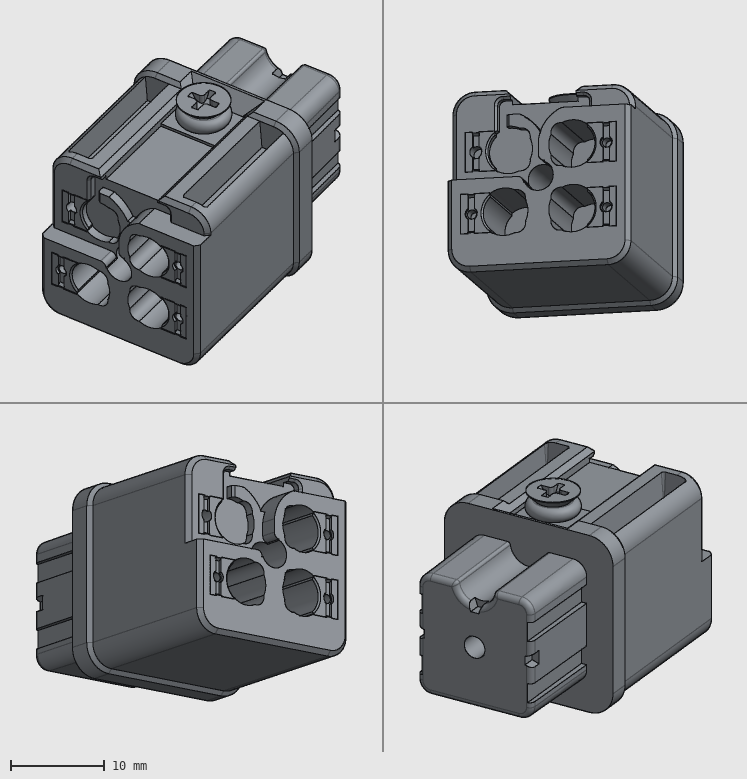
import cadquery as cq
import math

LENGTH = 32.8
EPS = 0.05

flange_size = 21.0
flange_radius = 2.95
flange_back = 21.65
flange_front = 18.7
rim_chamfer = 0.45
body_size = flange_size - 2 * rim_chamfer
body_radius = flange_radius - rim_chamfer
front_chamfer = 0.52
step_y = 2.05
recess_y = 3.08
body_half = body_size / 2

block_top = 7.28
corner_reach = 2.55
corner_mid = (1.25, 6.4)
corner_foot = 3.77
bore_corner = 0.65
bore_mouth_radius = 1.65
bore_end_radius = 1.28

arch_half = 5.05
arch_top = 9.0
arch_radius = 0.65
arch_chamfer = 0.3
hook_end = -4.0
hook_bottom = 5.97
cusp_half = 0.2
cusp_z = 5.0

contact_x = 3.75
left_top_contact_z = 3.4
right_top_contact_z = 3.28
low_contact_z = -3.77
contact_radius = 2.6
contact_seat_radius = 2.4
contact_depth = 9.85
key_radius = 1.05
key_offset = 1.85
pocket_inner = 5.35
pocket_outer = 8.55
pocket_half_height = 2.15
pocket_depth = 0.13
slot_inner = 7.05
slot_outer = 7.77
slot_half_height = 2.05
slot_depth = 0.5
slot_slope = 0.23
pin_hole_radius = 0.65
pin_tip_radius = 0.5
pin_hole_depth = 1.97

channel_half = 3.6
channel_floor = 8.55
seat_floor = 8.9
seat_front = 13.78
seat_back = 19.5
mouth_half = 4.65
mouth_back = 21.35

side_slot_inner = 5.77
side_slot_outer = 8.8
side_slot_front = 3.5
side_slot_floor = 6.55
side_slot_draft = 4.5
side_slot_radius = 0.33

plug_size = 14.43
plug_radius = 1.7
plug_draft = 0.6
plug_end_fillet = 0.65
trough_radius = 2.3
trough_depth = 2.3
trough_rim_fillet = 0.35
groove_depth = 0.52
groove_height = 2.23
upper_groove_z = 3.48
lower_groove_z = -3.8
notch_length = 1.48
notch_depth = 0.82
notch_half = 0.8
notch_floor_half = 0.5

screw_y = 16.6
screw_top = 11.85
head_radius = 2.92
head_rim = 0.1
head_neck_radius = 1.97
washer_top = 10.8
washer_bottom = 9.15
washer_radius = 3.02
shank_radius = 1.55
cross_half = 1.77
cross_foot = 1.3
cross_width = 0.8
cross_fillet = 0.4
cross_wall_depth = 0.82
cross_depth = 1.3


def at(y):
    """Sketch plane across the part; negative extrusions run toward +Y."""
    return cq.Workplane("XZ", origin=(0, y, 0))


def facing_back(y):
    """Sketch plane with its normal along +Y, for shapes symmetric in X."""
    return cq.Workplane(cq.Plane(origin=(0, y, 0), xDir=(-1, 0, 0), normal=(0, 1, 0)))


def box(x0, x1, y0, y1, z0, z1):
    corner = (min(x0, x1), min(y0, y1), min(z0, z1))
    return cq.Workplane("XY").box(abs(x1 - x0), abs(y1 - y0), abs(z1 - z0), centered=False).translate(corner)


def rounded_bar(size, radius, y0, y1):
    return at(y0).rect(size, size).extrude(y0 - y1).edges("|Y").fillet(radius)


def cone(x, z, y0, y1, radius0, radius1):
    """Round bar along Y whose radius changes from radius0 at y0 to radius1 at y1."""
    return at(y0).center(x, z).circle(radius0).workplane(offset=y0 - y1).circle(radius1).loft()


def front_block():
    """Part of the body ahead of the step: the lower half and the right top quarter."""
    b = bore_corner * math.sqrt(0.5)
    m = bore_mouth_radius
    outline = (
        at(0)
        .moveTo(-body_half, -body_half)
        .lineTo(body_half, -body_half)
        .lineTo(body_half, block_top)
        .lineTo(corner_reach, block_top)
        .threePointArc(corner_mid, (0, corner_foot))
        .lineTo(0, m + bore_corner)
        .threePointArc((bore_corner - b, m + bore_corner - b), (bore_corner, m))
        .lineTo(bore_corner, -bore_corner)
        .lineTo(-m, -bore_corner)
        .threePointArc((-m - bore_corner + b, -bore_corner + b), (-m - bore_corner, 0))
        .lineTo(-body_half, 0)
        .close()
        .extrude(-(recess_y + EPS))
    )
    bar = rounded_bar(body_size, body_radius, 0, recess_y + EPS).faces("<Y").chamfer(front_chamfer)
    return bar.intersect(outline)


def arch_recess():
    """Arched recess behind the step, kept clear of the hook round the left top contact."""
    floor_z = low_contact_z
    middle_z = (arch_top + floor_z) / 2
    height = arch_top - floor_z
    deep = (
        at(step_y - EPS)
        .center(0, middle_z)
        .rect(2 * arch_half, height)
        .extrude(step_y - EPS - recess_y)
        .edges("|Y")
        .fillet(arch_radius)
    )
    rim_sketch = cq.Sketch().rect(2 * (arch_half + arch_chamfer), height + 2 * arch_chamfer)
    rim_sketch = rim_sketch.vertices().fillet(arch_radius + arch_chamfer)
    rim = (
        facing_back(step_y)
        .center(0, middle_z)
        .placeSketch(rim_sketch)
        .extrude(arch_chamfer, taper=45)
    )
    window = (
        at(0)
        .moveTo(-body_half, body_half)
        .lineTo(body_half, body_half)
        .lineTo(body_half, block_top)
        .lineTo(corner_reach, block_top)
        .lineTo(corner_reach, cusp_z)
        .lineTo(-cusp_half, cusp_z)
        .threePointArc((-corner_mid[0], corner_mid[1]), (-corner_reach, block_top))
        .lineTo(hook_end, block_top)
        .lineTo(hook_end, left_top_contact_z)
        .lineTo(-pocket_inner, left_top_contact_z)
        .lineTo(-pocket_inner, left_top_contact_z + pocket_half_height)
        .lineTo(-body_half, left_top_contact_z + pocket_half_height)
        .close()
        .extrude(-flange_front)
    )
    hook_tip = (
        cq.Workplane("XY", origin=(0, 0, hook_bottom - EPS))
        .moveTo(hook_end, step_y)
        .lineTo(hook_end + arch_chamfer, step_y)
        .lineTo(hook_end, step_y + arch_chamfer)
        .close()
        .extrude(block_top - hook_bottom + 2 * EPS)
    )
    return deep.union(rim).intersect(window).union(hook_tip)


def contact_opening(side, z, face_y, depth, stepped_pin):
    """Contact bore with keyways on its inner side and a stepped pocket on its outer side."""
    x = side * contact_x
    start = face_y - EPS
    bore = at(start).center(x, z).circle(contact_radius).extrude(-depth - EPS)
    reach = contact_radius + EPS
    bore = bore.intersect(box(0, side * pocket_inner, start, face_y + depth, z - reach, z + reach))
    key_shift = key_offset * math.sqrt(0.5)
    for key_z in (z - key_shift, z + key_shift):
        key = at(start).center(x - side * key_shift, key_z).circle(key_radius)
        bore = bore.union(key.extrude(-depth - EPS))
    floor_y = face_y + pocket_depth
    seat_y = floor_y + contact_radius - contact_seat_radius
    bore = bore.union(cone(x, z, floor_y, seat_y, contact_radius, contact_seat_radius))
    bore = bore.union(at(floor_y).center(x, z).circle(contact_seat_radius).extrude(pocket_depth - depth))

    half = pocket_half_height
    pocket = box(side * pocket_inner, side * slot_inner, start, floor_y, z - half, z + half)
    pocket = pocket.union(box(side * slot_outer, side * pocket_outer, start, floor_y, z - half, z + half))
    slot_end = slot_half_height - slot_slope
    slot = (
        cq.Workplane("YZ", origin=(min(side * slot_inner, side * slot_outer), 0, z))
        .polyline([
            (start, -slot_half_height),
            (start, slot_half_height),
            (floor_y, slot_half_height),
            (face_y + slot_depth, slot_end),
            (face_y + slot_depth, -slot_end),
            (floor_y, -slot_half_height),
        ])
        .close()
        .extrude(slot_outer - slot_inner)
    )
    pin_x = side * (slot_inner + slot_outer) / 2
    pin_tip = pin_tip_radius if stepped_pin else pin_hole_radius
    pin_mouth = at(start).center(pin_x, z).circle(pin_hole_radius).extrude(-slot_depth - EPS)
    pin_hole = at(start).center(pin_x, z).circle(pin_tip).extrude(-pin_hole_depth - EPS)
    return bore.union(pocket).union(slot).union(pin_mouth).union(pin_hole)


def screw_channel():
    """Flat-bottomed channel with a raised screw seat and a 45-degree flared mouth."""
    top = flange_size / 2
    wall_top = top - (mouth_half - channel_half)
    front = box(-channel_half, channel_half, 0, seat_front, channel_floor, wall_top)
    seat = box(-channel_half, channel_half, 0, seat_back, seat_floor, wall_top)
    drop = top - seat_floor
    flare = (
        at(0)
        .polyline([
            (-mouth_half, top),
            (mouth_half, top),
            (mouth_half - drop, seat_floor),
            (drop - mouth_half, seat_floor),
        ])
        .close()
        .extrude(-mouth_back)
    )
    ramp = (
        cq.Workplane("YZ", origin=(-mouth_half, 0, 0))
        .polyline([(0, top), (mouth_back, top), (seat_back, seat_floor), (0, seat_floor)])
        .close()
        .extrude(2 * mouth_half)
    )
    return front.union(seat).union(flare.intersect(ramp))


def side_slot(side):
    """Deep slot with drafted walls, ending square against the flange."""
    top = body_half
    tool_length = 2 * (flange_front - side_slot_front)
    sketch = cq.Sketch().rect(side_slot_outer - side_slot_inner, tool_length)
    sketch = sketch.vertices().fillet(side_slot_radius)
    middle_x = side * (side_slot_inner + side_slot_outer) / 2
    plane = cq.Plane(origin=(middle_x, flange_front, top), xDir=(1, 0, 0), normal=(0, 0, -1))
    slot = cq.Workplane(plane).placeSketch(sketch).extrude(top - side_slot_floor, taper=side_slot_draft)
    return slot.intersect(box(-top, top, 0, flange_front, 0, top))


def end_notch():
    """Trapezoidal notch in the plug end, opening toward +Z with its mouth at z = 0."""
    flank = (notch_half - notch_floor_half) / notch_depth
    mouth = notch_half + flank * plug_end_fillet
    return (
        at(LENGTH - notch_length)
        .polyline([
            (-notch_floor_half, -notch_depth),
            (notch_floor_half, -notch_depth),
            (mouth, plug_end_fillet),
            (-mouth, plug_end_fillet),
        ])
        .close()
        .extrude(-notch_length)
    )


def plug():
    """Drafted mating plug with a round trough on top, side grooves and end notches."""
    half = plug_size / 2
    sketch = cq.Sketch().rect(plug_size, plug_size).vertices().fillet(plug_radius)
    start = flange_back - EPS
    body = facing_back(start).placeSketch(sketch).extrude(LENGTH - start, taper=plug_draft)
    trough = at(start).center(0, half).circle(trough_radius).extrude(start - LENGTH)
    body = body.cut(trough)
    rim_search = 0.33
    rims = cq.selectors.BoxSelector(
        (-trough_radius - rim_search, flange_back, half - rim_search),
        (trough_radius + rim_search, LENGTH - plug_end_fillet, half + rim_search),
    )
    body = body.edges(rims).fillet(trough_rim_fillet)
    body = body.faces(">Y").edges().fillet(plug_end_fillet)

    end_half = half - (LENGTH - start) * math.tan(math.radians(plug_draft))
    for side in (-1, 1):
        for z in (upper_groove_z, lower_groove_z):
            low = z - groove_height / 2
            floor_x = side * (end_half - groove_depth)
            body = body.cut(box(floor_x, side * half, flange_back, LENGTH, low, low + groove_height))
        body = body.cut(end_notch().translate((0, 0, end_half)).rotate((0, 0, 0), (0, 1, 0), side * 90))
    return body.cut(end_notch().translate((0, 0, half - trough_depth)))


def screw():
    """Screw with a countersunk head, a round-edged washer and a cross recess."""
    washer_middle = (washer_top + washer_bottom) / 2
    washer_flat = washer_radius - (washer_top - washer_bottom) / 2
    solid = (
        cq.Workplane("XZ")
        .moveTo(0, channel_floor - EPS)
        .lineTo(shank_radius, channel_floor - EPS)
        .lineTo(shank_radius, washer_bottom)
        .lineTo(washer_flat, washer_bottom)
        .threePointArc((washer_radius, washer_middle), (washer_flat, washer_top))
        .lineTo(head_neck_radius, washer_top)
        .lineTo(head_radius, screw_top - head_rim)
        .lineTo(head_radius, screw_top)
        .lineTo(0, screw_top)
        .close()
        .revolve(360, (0, 0), (0, 1))
    )
    recess = (
        cq.Workplane("XZ")
        .polyline([
            (0, screw_top),
            (cross_half, screw_top),
            (cross_foot, screw_top - cross_wall_depth),
            (0, screw_top - cross_depth),
        ])
        .close()
        .revolve(360, (0, 0), (0, 1))
    )
    arms = cq.Workplane("XY", origin=(0, 0, screw_top - cross_depth))
    cross = arms.rect(2 * cross_half, cross_width).extrude(cross_depth)
    cross = cross.union(arms.rect(cross_width, 2 * cross_half).extrude(cross_depth))
    reach = cross_width / 2 + EPS
    inner_corners = cq.selectors.BoxSelector((-reach, -reach, 0), (reach, reach, screw_top))
    cross = cross.edges("|Z").edges(inner_corners).fillet(cross_fillet)
    return solid.cut(recess.intersect(cross)).translate((0, screw_y, 0))


result = rounded_bar(flange_size, flange_radius, flange_front, flange_back).faces("<Y").chamfer(rim_chamfer)
result = result.union(
    rounded_bar(body_size, body_radius, step_y, flange_front + EPS).faces("<Y").chamfer(front_chamfer)
)
result = result.cut(arch_recess()).cut(screw_channel())
result = result.union(front_block())

for slot_side in (-1, 1):
    result = result.cut(side_slot(slot_side))

result = result.cut(contact_opening(-1, left_top_contact_z, step_y, recess_y - step_y, False))
result = result.cut(contact_opening(1, right_top_contact_z, 0, contact_depth, True))
for contact_side in (-1, 1):
    result = result.cut(contact_opening(contact_side, low_contact_z, 0, contact_depth, True))

result = result.union(plug())
result = result.cut(cone(0, 0, 0, LENGTH, bore_mouth_radius, bore_end_radius))
result = result.union(screw())